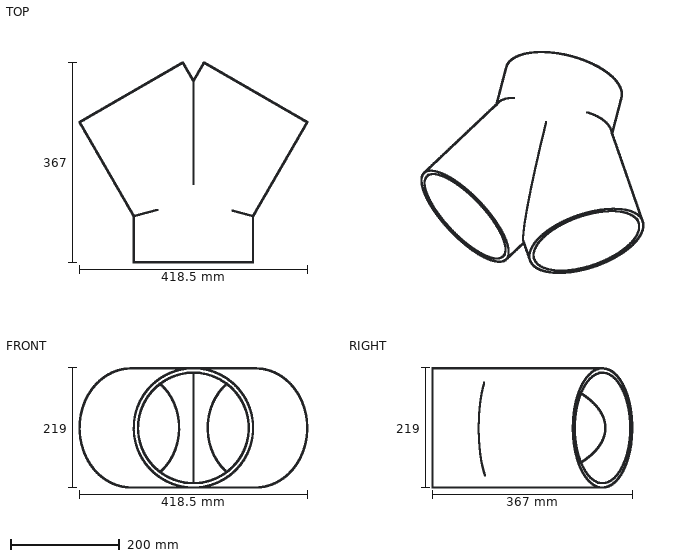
import cadquery as cq
import math

overall_width = 418.5
overall_depth = 367.0
outer_diameter = 219.0
inner_diameter = 203.0
branch_angle = 30.0

angle = math.radians(branch_angle)
outer_radius = outer_diameter / 2
branch_length = (overall_width / 2 - outer_radius * math.cos(angle)) / math.sin(angle)
branch_reach = branch_length * math.cos(angle) + outer_radius * math.sin(angle)
inlet_length = overall_depth - branch_reach


def cylinder(diameter, length, direction):
    """Round bar from the junction point along the given direction."""
    plane = cq.Plane(origin=(0, 0, 0), xDir=(0, 0, 1), normal=direction)
    return cq.Workplane(plane).circle(diameter / 2).extrude(length)


def y_shape(diameter):
    """Inlet and two mirrored branches of one diameter, joined at the junction."""
    shape = cylinder(diameter, inlet_length, (0, -1, 0))
    for side in (-1, 1):
        direction = (side * math.sin(angle), math.cos(angle), 0)
        shape = shape.union(cylinder(diameter, branch_length, direction))
    return shape


result = y_shape(outer_diameter).cut(y_shape(inner_diameter))